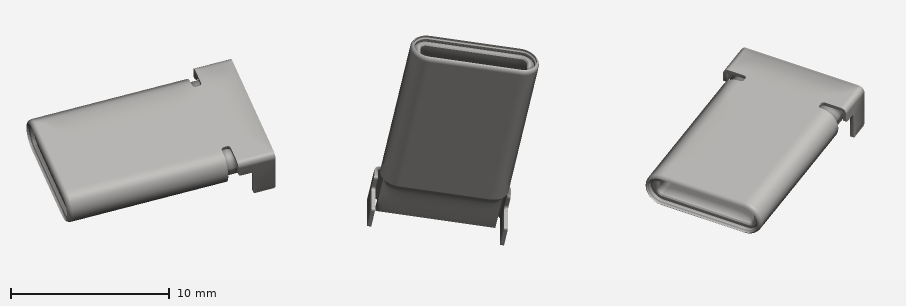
import cadquery as cq
import math

LENGTH = 13.74
SHEET = 0.25

SHELL_WIDTH = 8.25
SHELL_HEIGHT = 2.4
MOUTH_ROUNDING = 0.35
MOUTH_LAND = 0.15
MOUTH_BEVEL = 0.07

FLAP_WIDTH = 8.75
FLAP_DEPTH = 2.47
FLAP_DROP = 1.1
BEND_RADIUS = 0.4
LEG_DEPTH = 1.5
LEG_DROP = 3.1
RELIEF_WIDTH = 0.59
RELIEF_SPACING = 5.36
CORNER_RADIUS = 0.19
LEG_TIP_RADIUS = 0.16

INSERT_SETBACK = 0.44
POCKET_WIDTH = 6.8
POCKET_HEIGHT = 1.29
POCKET_CORNER = 0.36
POCKET_BEVEL = 0.08
POCKET_DEPTH = 6.66
TAIL_WIDTH = 7.67
TAIL_DROP = 1.4

AXIS_Z = -SHELL_HEIGHT / 2
FLAP_FRONT = LENGTH - FLAP_DEPTH
TUBE_LENGTH = FLAP_FRONT - RELIEF_WIDTH
LEG_FRONT = LENGTH - LEG_DEPTH
BORE_WIDTH = SHELL_WIDTH - 2 * SHEET
BORE_HEIGHT = SHELL_HEIGHT - 2 * SHEET
LIP_INSET = SHEET - MOUTH_BEVEL
LIP_OVERRUN = MOUTH_ROUNDING - math.sqrt(MOUTH_ROUNDING**2 - (MOUTH_ROUNDING - LIP_INSET) ** 2)


def stadium(width, height, y_start, y_end):
    """Solid of stadium section around the tube axis, from y_start to y_end."""
    section = cq.Workplane("XZ", origin=(0, y_start, AXIS_Z)).slot2D(width, height)
    return section.extrude(y_start - y_end)


def box(width, y_start, y_end, z_bottom, z_top):
    """Block centred on x = 0 between the given y and z limits."""
    block = cq.Workplane().box(width, y_end - y_start, z_top - z_bottom, centered=(True, False, False))
    return block.translate((0, y_start, z_bottom))


def flare(section_solid, bevel):
    """Bevel the rear rim of a cutting solid, so that the opening it cuts narrows at 45 degrees."""
    return section_solid.faces(">Y").edges().chamfer(bevel)


def make_tube():
    tube = stadium(SHELL_WIDTH, SHELL_HEIGHT, -LIP_OVERRUN, TUBE_LENGTH)
    tube = tube.faces("<Y").edges().fillet(MOUTH_ROUNDING)
    bore = stadium(BORE_WIDTH, BORE_HEIGHT, -LIP_OVERRUN, TUBE_LENGTH)
    mouth = stadium(
        BORE_WIDTH + 2 * MOUTH_BEVEL,
        BORE_HEIGHT + 2 * MOUTH_BEVEL,
        -LIP_OVERRUN,
        MOUTH_LAND + MOUTH_BEVEL,
    )
    mouth = flare(mouth, MOUTH_BEVEL)
    return tube.cut(bore).cut(mouth)


def make_flap():
    """Folded sheet: top plate with a side wall and a leg on each side."""
    outer = box(FLAP_WIDTH, FLAP_FRONT, LENGTH, -LEG_DROP, 0)
    outer = outer.edges("|Y and >Z").fillet(BEND_RADIUS)
    inner = box(FLAP_WIDTH - 2 * SHEET, FLAP_FRONT, LENGTH, -LEG_DROP, -SHEET)
    inner = inner.edges("|Y and >Z").fillet(BEND_RADIUS - SHEET)

    side_profile = (
        cq.Workplane("YZ")
        .polyline([
            (LENGTH, 0),
            (FLAP_FRONT, 0),
            (FLAP_FRONT, -FLAP_DROP),
            (LEG_FRONT, -FLAP_DROP),
            (LEG_FRONT, -LEG_DROP),
            (LENGTH, -LEG_DROP),
        ])
        .close()
        .extrude(FLAP_WIDTH / 2, both=True)
    )
    side_profile = side_profile.edges("|X").edges("not (>Z or <Z)").fillet(CORNER_RADIUS)
    side_profile = side_profile.edges("|X").edges("<Z").fillet(LEG_TIP_RADIUS)
    return outer.cut(inner).intersect(side_profile)


def make_bridge():
    """Top plate that joins tube and flap, with the relief slots' rounded ends at its sides."""
    bridge = box(SHELL_WIDTH - SHELL_HEIGHT, TUBE_LENGTH, FLAP_FRONT, -SHEET, 0)
    for side in (-1, 1):
        relief = (
            cq.Workplane()
            .box(SHELL_WIDTH, RELIEF_WIDTH, SHEET, centered=(True, False, False))
            .edges("|Z")
            .fillet(CORNER_RADIUS)
            .translate((side * (RELIEF_SPACING + SHELL_WIDTH) / 2, TUBE_LENGTH, -SHEET))
        )
        bridge = bridge.cut(relief)
    return bridge


def pocket_block(width, height, corner, y_start, y_end):
    """Block around the tube axis with rounded corners along y."""
    block = box(width, y_start, y_end, AXIS_Z - height / 2, AXIS_Z + height / 2)
    return block.edges("|Y").fillet(corner)


def make_insert():
    """Plastic filling of the tube with a front pocket and a tail under the flap."""
    core = stadium(BORE_WIDTH, BORE_HEIGHT, INSERT_SETBACK, TUBE_LENGTH)
    tail = stadium(BORE_WIDTH, BORE_HEIGHT, TUBE_LENGTH, LENGTH)
    tail = tail.intersect(box(TAIL_WIDTH, TUBE_LENGTH, LENGTH, -TAIL_DROP, 0))

    pocket_end = INSERT_SETBACK + POCKET_DEPTH
    pocket = pocket_block(POCKET_WIDTH, POCKET_HEIGHT, POCKET_CORNER, INSERT_SETBACK, pocket_end)
    rim = pocket_block(
        POCKET_WIDTH + 2 * POCKET_BEVEL,
        POCKET_HEIGHT + 2 * POCKET_BEVEL,
        POCKET_CORNER + POCKET_BEVEL,
        INSERT_SETBACK - POCKET_BEVEL,
        INSERT_SETBACK + POCKET_BEVEL,
    )
    return core.union(tail).cut(pocket).cut(flare(rim, POCKET_BEVEL))


shell = make_tube().union(make_bridge()).union(make_flap())
insert = make_insert()

result = cq.Compound.makeCompound([shell.val(), insert.val()])